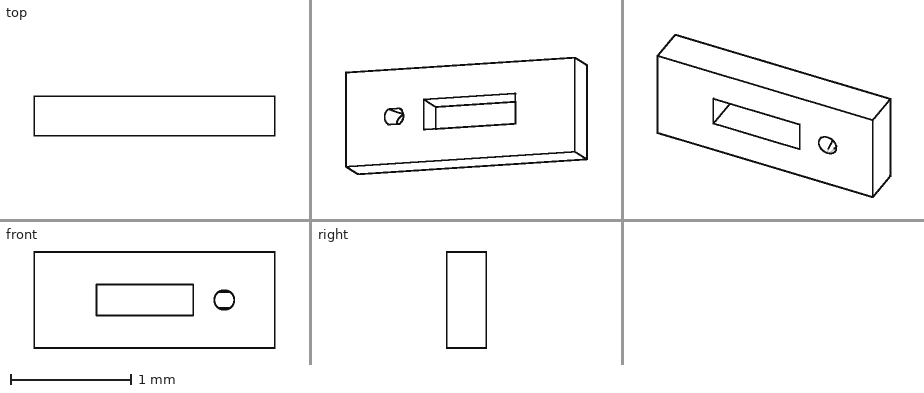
import cadquery as cq

length = 2.0
thickness = 0.33
height = 0.8

window_length = 0.8
window_height = 0.255
window_start = 0.52

hole_diameter = 0.165
hole_x = 1.58
hole_back_height = 0.132

plate = cq.Workplane("XY").box(length, thickness, height, centered=(False, True, True))

window = (
    cq.Workplane("XY")
    .box(window_length, thickness, window_height)
    .translate((window_start + window_length / 2, 0, 0))
)
bore = (
    cq.Workplane("XZ")
    .center(hole_x, 0)
    .circle(hole_diameter / 2)
    .extrude(thickness / 2, both=True)
)

front_y = -thickness / 2
back_y = thickness / 2
narrowing_wedge = (
    cq.Workplane("YZ", origin=(hole_x, 0, 0))
    .polyline([
        (front_y, -hole_diameter / 2),
        (back_y, -hole_back_height / 2),
        (back_y, hole_back_height / 2),
        (front_y, hole_diameter / 2),
    ])
    .close()
    .extrude(hole_diameter, both=True)
)
hole = bore.intersect(narrowing_wedge)

result = plate.cut(window).cut(hole)